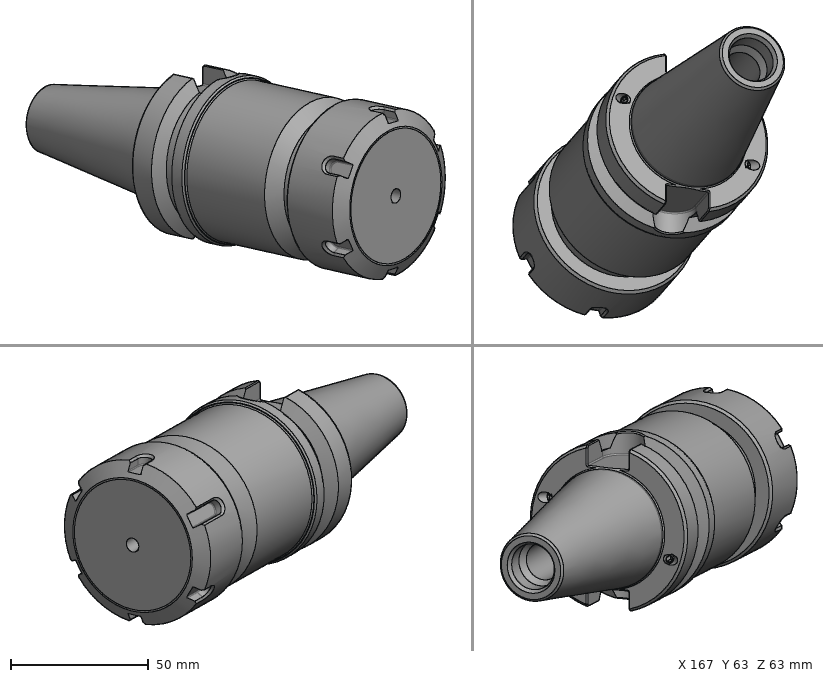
import cadquery as cq
import math

TAPER_SMALL_R = 12.7
TAPER_END_CHAMFER = 0.8
TAPER_LENGTH = 65.5
TAPER_RATIO = 7 / 24
TAPER_LARGE_R = TAPER_SMALL_R + TAPER_LENGTH * TAPER_RATIO / 2
FLANGE_START = 67.0
FLANGE_R = 31.48
FLANGE_CHAMFER = 1.0
FLANGE_ROOT_FILLET = 0.5
GROOVE_R = 26.5
GROOVE_START = 77.0
GROOVE_FLOOR_START = 79.8
GROOVE_FLOOR_END = 84.5
GROOVE_END = 86.7
COLLAR_END = 92.2
COLLAR_CHAMFER = 0.7
COLLAR_ROOT_FILLET = 0.5
BODY_R = 30
BODY_END = 130.0
NECK_R = 25
NECK_START = BODY_END + BODY_R - NECK_R
TOTAL_LENGTH = 167

OVERRUN = 1.7
MARGIN = 0.02

PILOT_R = 8.5
PILOT_MOUTH_R = 9.5
PILOT_MOUTH_DEPTH = 1.7
PILOT_DEPTH = 8.0
PILOT_STEP = 3.0
BORE_R = 6.93
BORE_DEPTH = 33.4
THROUGH_R = 2.7

KEY_WIDTH = 16.4
KEY_FLOOR_Z = 22.7
KEY_END = 88.5
KEY_FLOOR_FILLET = 0.5
KEY_RIM_CHAMFER = 0.5

SCREW_R = 2.0
SCREW_LENGTH = 5
SCREW_RECESS = 1.3
SCREW_CHAMFER = 0.7
SCREW_TILT = 45
SCREW_POSITION_R = 26.7
SCREW_POSITION_ANGLE = 20
SOCKET_ACROSS_CORNERS = 2.3
SOCKET_SIDES = 6
SOCKET_DEPTH = 1.7

NUT_START = 141.1
NUT_R = 31.48
NUT_REAR_CHAMFER = 1.0
NUT_FACE_R = 25.7
NUT_CONE_START = 163.7
NUT_SLOT_COUNT = 6
NUT_SLOT_WIDTH = 5.5
NUT_SLOT_RIM_DEPTH = 1.0
NUT_SLOT_RIM_ANGLE = 45
NUT_SLOT_FILLET = 0.3
NUT_SLOT_FLOOR_R = 27.5
NUT_SLOT_CENTER = 159.0
LONG_SLOT_CENTER = 152
LONG_SLOT_ANGLE = 30


def revolved(points):
    """Solid of revolution about X from (x, radius) points."""
    return cq.Workplane("XY").polyline(points).close().revolve(360, (0, 0, 0), (1, 0, 0))


def slot_outline(plane, center, radius):
    """Outline of a nut slot: round end at -X, running out past the front face."""
    run_out = TOTAL_LENGTH + OVERRUN
    return (
        plane.moveTo(run_out, radius)
        .lineTo(center, radius)
        .threePointArc((center - radius, 0), (center, -radius))
        .lineTo(run_out, -radius)
        .close()
    )


def screw_plane(side):
    """Plane at the mouth of a screw hole, its normal running into the flange."""
    angle = math.radians(SCREW_POSITION_ANGLE)
    tilt = math.radians(SCREW_TILT)
    mouth = (
        FLANGE_START,
        side * SCREW_POSITION_R * math.cos(angle),
        side * SCREW_POSITION_R * math.sin(angle),
    )
    return cq.Plane(mouth, (0, 0, 1), (math.cos(tilt), -side * math.sin(tilt), 0))


def screw_hole(side):
    """Cutter for a screw hole, started outside the flange to clear the tilted mouth."""
    return (
        cq.Workplane(screw_plane(side)).workplane(offset=-2 * SCREW_R)
        .circle(SCREW_R).extrude(2 * SCREW_R + SCREW_RECESS + SCREW_LENGTH)
    )


def make_screw(side):
    """Set screw sunk in its hole, with a chamfered end and a hexagon socket."""
    plane = screw_plane(side)
    top = cq.Workplane(plane).workplane(offset=SCREW_RECESS)
    end = cq.selectors.DirectionMinMaxSelector(plane.zDir, directionMax=False)
    socket = top.polygon(SOCKET_SIDES, SOCKET_ACROSS_CORNERS).extrude(SOCKET_DEPTH)
    screw = top.circle(SCREW_R).extrude(SCREW_LENGTH).faces(end).chamfer(SCREW_CHAMFER)
    return screw.cut(socket)


def key_slot(side):
    """Cutter for one driving key slot, open at the flange face and round in the collar."""
    radius = KEY_WIDTH / 2
    straight = KEY_END - radius
    slot = (
        cq.Workplane("XY").workplane(offset=KEY_FLOOR_Z)
        .moveTo(FLANGE_START - OVERRUN, radius)
        .lineTo(straight, radius)
        .threePointArc((KEY_END, 0), (straight, -radius))
        .lineTo(FLANGE_START - OVERRUN, -radius)
        .close().extrude(FLANGE_R)
        .faces("<Z").edges("not <X").fillet(KEY_FLOOR_FILLET)
    )
    return slot if side > 0 else slot.mirror("XY")


def chamfer_inside(solid, low, high):
    """Break the edges that lie wholly inside a box."""
    rim = cq.selectors.BoxSelector(low, high, boundingbox=True)
    return solid.edges(rim).chamfer(KEY_RIM_CHAMFER)


def chamfer_key_rims(holder):
    """Break the rims of both key slots, along the flange and round the end in the collar."""
    wall = KEY_WIDTH / 2
    wall_low = KEY_FLOOR_Z + KEY_FLOOR_FILLET
    for side_z in (1, -1):
        for side_y in (1, -1):
            holder = chamfer_inside(
                holder,
                (FLANGE_START - MARGIN, side_y * wall - MARGIN, side_z * (wall_low - MARGIN)),
                (GROOVE_START + MARGIN, side_y * wall + MARGIN, side_z * FLANGE_R),
            )
        holder = chamfer_inside(
            holder,
            (GROOVE_END - MARGIN, -wall, side_z * wall_low),
            (KEY_END + MARGIN, wall, side_z * (FLANGE_R + MARGIN)),
        )
    return holder


def make_holder():
    """Turned holder with its bore, key slots and screw holes."""
    outline = [
        (0, 0),
        (0, TAPER_SMALL_R - TAPER_END_CHAMFER),
        (TAPER_END_CHAMFER, TAPER_SMALL_R),
        (TAPER_LENGTH, TAPER_LARGE_R),
        (FLANGE_START - FLANGE_ROOT_FILLET, TAPER_LARGE_R),
        (FLANGE_START, TAPER_LARGE_R + FLANGE_ROOT_FILLET),
        (FLANGE_START, FLANGE_R - FLANGE_CHAMFER),
        (FLANGE_START + FLANGE_CHAMFER, FLANGE_R),
        (GROOVE_START, FLANGE_R),
        (GROOVE_FLOOR_START, GROOVE_R),
        (GROOVE_FLOOR_END, GROOVE_R),
        (GROOVE_END, FLANGE_R),
        (COLLAR_END - COLLAR_CHAMFER, FLANGE_R),
        (COLLAR_END, FLANGE_R - COLLAR_CHAMFER),
        (COLLAR_END, BODY_R + COLLAR_ROOT_FILLET),
        (COLLAR_END + COLLAR_ROOT_FILLET, BODY_R),
        (BODY_END, BODY_R),
        (NECK_START, NECK_R),
        (TOTAL_LENGTH, NECK_R),
        (TOTAL_LENGTH, 0),
    ]
    bore = revolved([
        (0, 0),
        (0, PILOT_MOUTH_R),
        (PILOT_MOUTH_DEPTH, PILOT_R),
        (PILOT_DEPTH, PILOT_R),
        (PILOT_DEPTH + PILOT_STEP, BORE_R),
        (BORE_DEPTH, BORE_R),
        (BORE_DEPTH, THROUGH_R),
        (TOTAL_LENGTH, THROUGH_R),
        (TOTAL_LENGTH, 0),
    ])
    holder = revolved(outline).cut(bore)
    for side in (1, -1):
        holder = holder.cut(key_slot(side))
    holder = chamfer_key_rims(holder)
    for side in (1, -1):
        holder = holder.cut(screw_hole(side))
    return holder


def nut_slot(center, angle):
    """Cutter for one spanner slot, with a rounded floor edge and a flared rim."""
    wall = NUT_SLOT_WIDTH / 2
    floor = cq.Workplane("XY").workplane(offset=NUT_SLOT_FLOOR_R)
    groove = (
        slot_outline(floor, center, wall).extrude(NUT_R - NUT_SLOT_FLOOR_R + OVERRUN)
        .faces("<Z").edges("not >X").fillet(NUT_SLOT_FILLET)
    )
    rim_floor = cq.Workplane("XY").workplane(offset=NUT_R - NUT_SLOT_RIM_DEPTH)
    rim = slot_outline(rim_floor, center, wall).extrude(2 * NUT_SLOT_RIM_DEPTH, taper=-NUT_SLOT_RIM_ANGLE)
    turn_from_z = angle - 90
    return groove.union(rim).rotate((0, 0, 0), (1, 0, 0), turn_from_z)


def make_nut():
    """Ring screwed on the nose, with six spanner slots, one of them longer."""
    nut = revolved([
        (NUT_START, NECK_R),
        (NUT_START, NUT_R - NUT_REAR_CHAMFER),
        (NUT_START + NUT_REAR_CHAMFER, NUT_R),
        (NUT_CONE_START, NUT_R),
        (TOTAL_LENGTH, NUT_FACE_R),
        (TOTAL_LENGTH, NECK_R),
    ])
    for i in range(NUT_SLOT_COUNT):
        angle = LONG_SLOT_ANGLE + i * 360 / NUT_SLOT_COUNT
        center = LONG_SLOT_CENTER if i == 0 else NUT_SLOT_CENTER
        nut = nut.cut(nut_slot(center, angle))
    return nut


holder = make_holder()
nut = make_nut()
screws = [make_screw(side) for side in (1, -1)]

result = cq.Compound.makeCompound([holder.val(), nut.val(), *[screw.val() for screw in screws]])